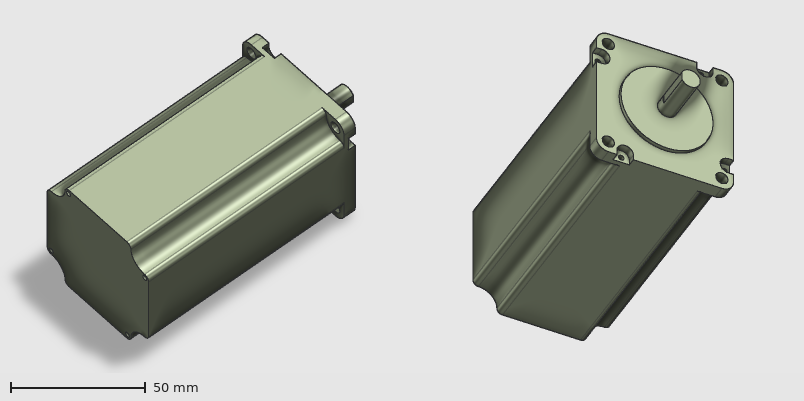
import cadquery as cq
import math

width = 57.0
total_length = 123.0
corner_radius = 4.9

shaft_reach = 21.0
pilot_height = 1.6
flange_thickness = 5.5
body_length = total_length - shaft_reach - flange_thickness

pilot_diameter = 38.1
shaft_diameter = 8.0
flat_depth = 0.5
flat_length = 15.0

lip_radius = 2.3
flute_radius = 7.6

mount_diameter = 5.0
screw_diameter = 2.2
screw_offset = 11.9
screw_edge_distance = 2.2
recess_width = 6.8
recess_depth = 3.3

half = width / 2
back_y = -total_length / 2
flange_back_y = back_y + body_length
flange_front_y = flange_back_y + flange_thickness
shaft_tip_y = total_length / 2
mount_spacing = width - 2 * corner_radius
screw_x = screw_offset - half
screw_z = half - screw_edge_distance


def plane_at(y):
    """Plane across the shaft axis: local x is X, local y is Z, normal is -Y."""
    return cq.Workplane("XZ", origin=(0, y, 0))


def make_body():
    lip_end = half - lip_radius - flute_radius
    lip_start = lip_end - lip_radius
    lip_centre = half - lip_radius
    diagonal = math.sqrt(0.5)
    lip_mid = (lip_start + lip_radius * diagonal, lip_centre + lip_radius * diagonal)
    flute_mid = lip_centre - flute_radius * diagonal

    corner = [
        (lip_start, half),
        lip_mid,
        (lip_end, lip_centre),
        (flute_mid, flute_mid),
        (lip_centre, lip_end),
        lip_mid[::-1],
        (half, lip_start),
    ]
    outline = plane_at(flange_back_y).moveTo(-lip_start, half)
    for _ in range(4):
        outline = outline.lineTo(*corner[0])
        for middle, end in zip(corner[1::2], corner[2::2]):
            outline = outline.threePointArc(middle, end)
        corner = [(z, -x) for x, z in corner]
    return outline.close().extrude(body_length)


def make_flange():
    plate = plane_at(flange_front_y).rect(width, width).extrude(flange_thickness)
    plate = plate.edges("|Y").fillet(corner_radius)
    mount_holes = (
        plane_at(flange_front_y)
        .rect(mount_spacing, mount_spacing, forConstruction=True)
        .vertices()
        .circle(mount_diameter / 2)
        .extrude(flange_thickness)
    )
    return plate.cut(mount_holes)


def make_pilot():
    return plane_at(flange_front_y + pilot_height).circle(pilot_diameter / 2).extrude(pilot_height)


def make_shaft():
    shaft = plane_at(shaft_tip_y).circle(shaft_diameter / 2).extrude(shaft_reach)
    flat_cut = (
        plane_at(shaft_tip_y)
        .center(shaft_diameter / 2, 0)
        .rect(2 * flat_depth, shaft_diameter)
        .extrude(flat_length)
    )
    return shaft.cut(flat_cut)


def make_screw_cut():
    """Through hole with a round-ended recess in the flange, open to the top side."""
    hole = plane_at(flange_front_y).center(screw_x, screw_z)
    through = hole.circle(screw_diameter / 2).extrude(flange_front_y - back_y)
    round_end = hole.circle(recess_width / 2).extrude(recess_depth)
    opening = (
        hole.center(0, screw_edge_distance / 2)
        .rect(recess_width, screw_edge_distance)
        .extrude(recess_depth)
    )
    return through.union(round_end).union(opening)


result = make_body().union(make_flange()).union(make_shaft()).union(make_pilot())
screw_cut = make_screw_cut()
for turn in range(4):
    result = result.cut(screw_cut.rotate((0, 0, 0), (0, 1, 0), 90 * turn))